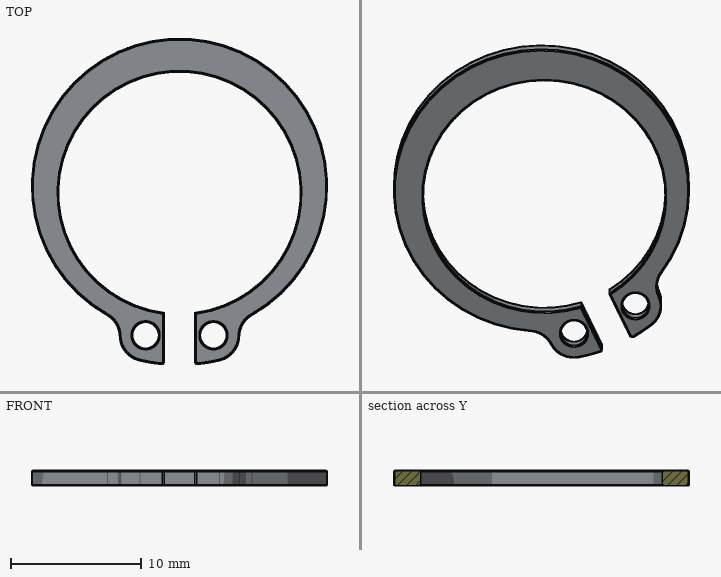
import cadquery as cq
import math

thickness = 1.2
overall_length = 24.97
outer_diameter = 22.65
inner_radius = 9.26
rim_offset = 0.5
gap_width = 2.35
hole_diameter = 2.0
hole_x = 2.6
lug_radius = 2.0
neck_radius = 1.87
edge_chamfer = 0.1
corner_chamfer = 0.15

outer_radius = outer_diameter / 2
half_gap = gap_width / 2
corner_x = half_gap + corner_chamfer
lug_tip_y = rim_offset + outer_radius - overall_length
tip_radius = math.hypot(corner_x, lug_tip_y)
hole_pitch_radius = tip_radius - lug_radius
hole_y = -math.sqrt(hole_pitch_radius**2 - hole_x**2)


def toward(start, end, distance):
    """Point at a distance from start along the line to end."""
    length = math.dist(start, end)
    return tuple(a + (b - a) * distance / length for a, b in zip(start, end))


def on_circle_below(radius, x):
    """Point on the lower half of a circle about the origin."""
    return (x, -math.sqrt(radius**2 - x**2))


def mirrored(point):
    return (-point[0], point[1])


def neck_center(rim, lug):
    """Centre of the blend circle that touches both the rim and the lug."""
    to_rim = outer_radius + neck_radius
    to_lug = lug_radius + neck_radius
    span = math.dist(rim, lug)
    along = (to_rim**2 - to_lug**2 + span**2) / (2 * span)
    aside = math.sqrt(to_rim**2 - along**2)
    ux = (lug[0] - rim[0]) / span
    uy = (lug[1] - rim[1]) / span
    return (rim[0] + along * ux - aside * uy, rim[1] + along * uy + aside * ux)


def midpoint(a, b):
    return ((a[0] + b[0]) / 2, (a[1] + b[1]) / 2)


def ring_body():
    origin = (0, 0)
    rim = (0, rim_offset)
    lug = (hole_x, hole_y)
    neck = neck_center(rim, lug)

    bore_end = on_circle_below(inner_radius, half_gap)
    tip_side = (half_gap, lug_tip_y + corner_chamfer)
    tip_corner = (corner_x, lug_tip_y)
    lug_start = toward(origin, lug, tip_radius)
    tip_mid = toward(origin, midpoint(tip_corner, lug_start), tip_radius)
    lug_end = toward(lug, neck, lug_radius)
    lug_mid = toward(lug, midpoint(lug_start, lug_end), lug_radius)
    rim_end = toward(rim, neck, outer_radius)
    neck_mid = toward(neck, midpoint(lug_end, rim_end), neck_radius)

    return (
        cq.Workplane("XY")
        .moveTo(*bore_end)
        .lineTo(*tip_side)
        .lineTo(*tip_corner)
        .threePointArc(tip_mid, lug_start)
        .threePointArc(lug_mid, lug_end)
        .threePointArc(neck_mid, rim_end)
        .threePointArc((0, rim_offset + outer_radius), mirrored(rim_end))
        .threePointArc(mirrored(neck_mid), mirrored(lug_end))
        .threePointArc(mirrored(lug_mid), mirrored(lug_start))
        .threePointArc(mirrored(tip_mid), mirrored(tip_corner))
        .lineTo(*mirrored(tip_side))
        .lineTo(*mirrored(bore_end))
        .threePointArc((0, inner_radius), bore_end)
        .close()
        .extrude(thickness)
    )


def plier_holes():
    return (
        cq.Workplane("XY")
        .pushPoints([(-hole_x, hole_y), (hole_x, hole_y)])
        .circle(hole_diameter / 2)
        .extrude(thickness)
    )


blank = ring_body().cut(plier_holes())

result = blank.faces("|Z").edges().chamfer(edge_chamfer)